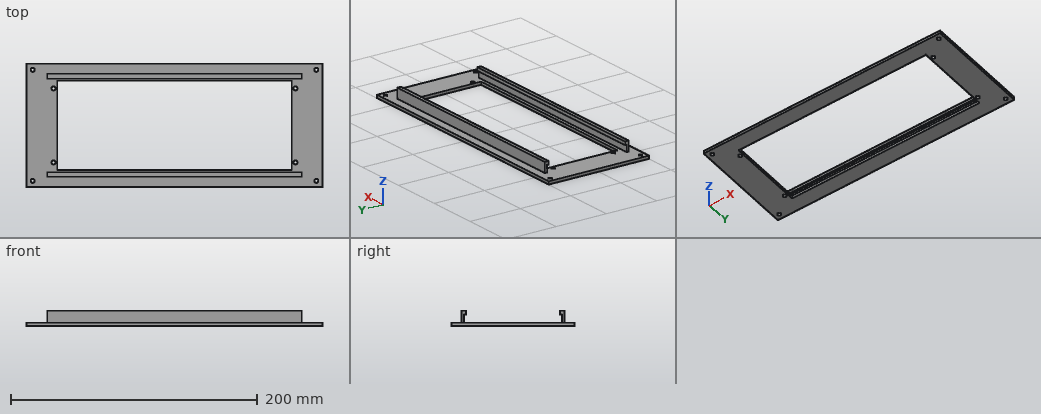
import cadquery as cq

plate_length = 240.0
plate_width = 100.0
plate_thickness = 3.0
total_height = 12.5

window_length = 190.0
window_width = 72.0

rail_length = 206.5
rail_outer_spacing = 83.5
rail_web_thickness = 2.2
lip_width = 3.8
lip_height = 3.0

hole_diameter = 3.0
corner_spacing_x = 230.0
corner_spacing_y = 90.0
window_hole_spacing_x = 196.0
window_hole_spacing_y = 60.0


def make_plate():
    plate = cq.Workplane("XY").rect(plate_length, plate_width).extrude(plate_thickness)
    window = cq.Workplane("XY").rect(window_length, window_width).extrude(plate_thickness)
    return plate.cut(window)


def make_holes(spacing_x, spacing_y):
    return (
        cq.Workplane("XY")
        .rect(spacing_x, spacing_y, forConstruction=True)
        .vertices()
        .circle(hole_diameter / 2)
        .extrude(plate_thickness)
    )


def make_rail():
    """Rail on the +Y side, an inverted L swept along X."""
    outer_y = rail_outer_spacing / 2
    web_y = outer_y - rail_web_thickness
    lip_y = outer_y - lip_width
    lip_bottom = total_height - lip_height
    profile = [
        (outer_y, plate_thickness),
        (outer_y, total_height),
        (lip_y, total_height),
        (lip_y, lip_bottom),
        (web_y, lip_bottom),
        (web_y, plate_thickness),
    ]
    return cq.Workplane("YZ").polyline(profile).close().extrude(rail_length / 2, both=True)


plate = make_plate()
plate = plate.cut(make_holes(corner_spacing_x, corner_spacing_y))
plate = plate.cut(make_holes(window_hole_spacing_x, window_hole_spacing_y))

rail = make_rail()
result = plate.union(rail).union(rail.mirror("XZ"))